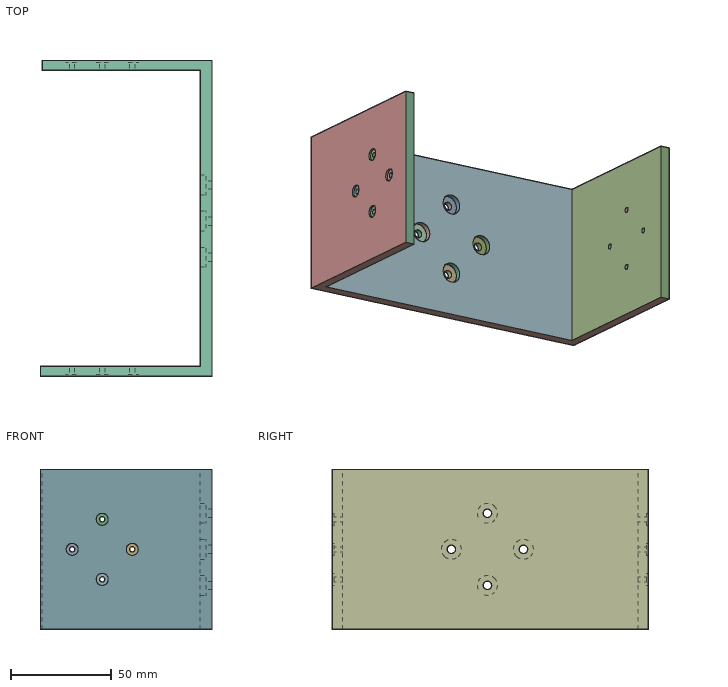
import cadquery as cq

length = 158.0
width = 86.0
height = 80.0
arm_thickness = 5.0
back_thickness = 6.0
rear_arm_shortfall = 1.0

arm_pattern_radius = 15.0
arm_pattern_x = 31.0
arm_hole_diameter = 2.5
arm_bore_diameter = 6.0
arm_bore_depth = 1.0

back_pattern_radius = 18.0
back_pattern_y = -1.5
back_hole_diameter = 4.1
back_bore_diameter = 10.0
back_bore_depth = 3.0


def bracket_body():
    """U-shaped body with its free end at X = 0, centred on Y and Z."""
    half_length = length / 2
    inner_half = half_length - arm_thickness
    inner_x = width - back_thickness
    return (
        cq.Workplane("XY")
        .workplane(offset=-height / 2)
        .moveTo(0, -half_length)
        .lineTo(width, -half_length)
        .lineTo(width, half_length)
        .lineTo(rear_arm_shortfall, half_length)
        .lineTo(rear_arm_shortfall, inner_half)
        .lineTo(inner_x, inner_half)
        .lineTo(inner_x, -inner_half)
        .lineTo(0, -inner_half)
        .close()
        .extrude(height)
    )


def counterbore_pattern(origin, inward, radius, thickness, hole_diameter, bore_diameter, bore_depth):
    """Cutter for four counterbored holes in a diamond, entering a plate along `inward`."""
    face = cq.Workplane(cq.Plane(origin=origin, xDir=(0, 0, 1), normal=inward))
    centres = face.polarArray(radius, 0, 360, 4)
    holes = centres.circle(hole_diameter / 2).extrude(thickness)
    bores = centres.circle(bore_diameter / 2).extrude(bore_depth)
    return holes.union(bores)


def arm_holes(side):
    """Hole pattern of one arm; side is -1 for the -Y arm and +1 for the +Y arm."""
    return counterbore_pattern(
        (arm_pattern_x, side * length / 2, 0),
        (0, -side, 0),
        arm_pattern_radius,
        arm_thickness,
        arm_hole_diameter,
        arm_bore_diameter,
        arm_bore_depth,
    )


back_holes = counterbore_pattern(
    (width - back_thickness, back_pattern_y, 0),
    (1, 0, 0),
    back_pattern_radius,
    back_thickness,
    back_hole_diameter,
    back_bore_diameter,
    back_bore_depth,
)

result = bracket_body().cut(back_holes)
for side in (-1, 1):
    result = result.cut(arm_holes(side))